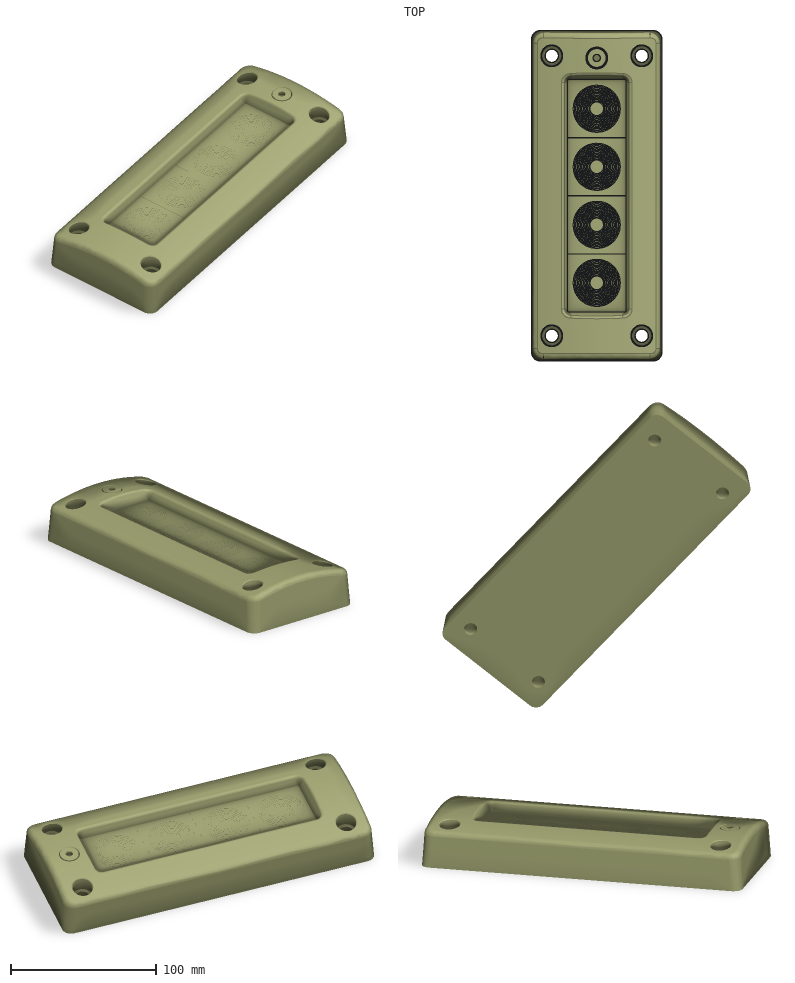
import cadquery as cq
import math

length_x = 90.0
length_y = 228.0
height = 31.5
side_draft = 3.0
base_corner_radius = 6.5
top_corner_radius = 8.0
dome_radius = 150.0
top_edge_fillet = 4.0

panel_size = 40.0
panel_count = 4
window_depth = 8.7
wall_run = 3.4
floor_corner_radius = 0.3
window_corner_radius = 6.5
window_rim_fillet = 2.0
rim_min_z = 28.0
joint_width = 0.1
joint_depth = 0.1

relief_radius = 16.25
centre_recess_radius = 4.7
groove_count = 7
relief_depth = 0.1

screw_hole_diameter = 9.0
counterbore_diameter = 14.0
mouth_min_z = 24.0
mouth_margin = 0.5
mouth_chamfer = 0.5
screw_spacing_x = 62.0
screw_spacing_y = 193.0
counterbore_floor_z = 19.5

plug_y = 95.0
plug_seat_diameter = 14.0
plug_diameter = 13.0
plug_seat_depth = 3.0
plug_hole_diameter = 5.0

floor_z = height - window_depth
floor_y = panel_size * panel_count


def rounded_rectangle(size_x, size_y, radius, z):
    sketch = cq.Sketch().rect(size_x, size_y).vertices().fillet(radius)
    return sketch.moved(cq.Location(cq.Vector(0, 0, z)))


def loft_rectangles(lower, upper):
    return cq.Workplane("XY").placeSketch(lower, upper).loft(ruled=True)


def make_dome():
    crown_circle = cq.Workplane("XZ").center(0, height - dome_radius).circle(dome_radius)
    return crown_circle.extrude(length_y, both=True)


def make_housing():
    inset = 2 * height * math.tan(math.radians(side_draft))
    shell = loft_rectangles(
        rounded_rectangle(length_x, length_y, base_corner_radius, 0),
        rounded_rectangle(length_x - inset, length_y - inset, top_corner_radius, height),
    )
    body = shell.intersect(make_dome())
    return body.faces(">Z").edges().fillet(top_edge_fillet)


def cut_window(body):
    top_x = panel_size + 2 * wall_run
    top_y = floor_y + 2 * wall_run
    window = loft_rectangles(
        rounded_rectangle(panel_size, floor_y, floor_corner_radius, floor_z),
        rounded_rectangle(top_x, top_y, window_corner_radius, height),
    )
    body = body.cut(window)
    rim_box = cq.selectors.BoxSelector(
        (-top_x / 2, -top_y / 2, rim_min_z),
        (top_x / 2, top_y / 2, height + mouth_margin),
        boundingbox=True,
    )
    return body.edges(rim_box).fillet(window_rim_fillet)


def panel_centres():
    first_y = (panel_size - floor_y) / 2
    return [(0, first_y + panel_size * i) for i in range(panel_count)]


def cut_panel_joints(body):
    joint_positions = [(0, panel_size * (i - panel_count / 2)) for i in range(1, panel_count)]
    joints = (
        cq.Workplane("XY").workplane(offset=floor_z)
        .pushPoints(joint_positions)
        .rect(panel_size, joint_width)
        .extrude(-joint_depth)
    )
    return body.cut(joints)


def cut_panel_relief(body):
    band_width = (relief_radius - centre_recess_radius) / (2 * groove_count)
    panels = cq.Workplane("XY").workplane(offset=floor_z).pushPoints(panel_centres())
    body = body.cut(panels.circle(centre_recess_radius).extrude(-relief_depth))
    for i in range(groove_count):
        outer_radius = relief_radius - 2 * band_width * i
        groove = panels.circle(outer_radius).circle(outer_radius - band_width).extrude(-relief_depth)
        body = body.cut(groove)
    return body


def chamfer_mouth(body, x, y, diameter):
    reach = diameter / 2 + mouth_margin
    mouth_box = cq.selectors.BoxSelector(
        (x - reach, y - reach, mouth_min_z),
        (x + reach, y + reach, height + mouth_margin),
        boundingbox=True,
    )
    return body.edges(mouth_box).chamfer(mouth_chamfer)


def cut_screw_hole(body, x, y):
    hole = cq.Workplane("XY").center(x, y).circle(screw_hole_diameter / 2).extrude(height)
    counterbore = (
        cq.Workplane("XY").workplane(offset=counterbore_floor_z)
        .center(x, y)
        .circle(counterbore_diameter / 2)
        .extrude(height - counterbore_floor_z)
    )
    return chamfer_mouth(body.cut(hole).cut(counterbore), x, y, counterbore_diameter)


def add_plug(body):
    seat_floor = cq.Workplane("XY").workplane(offset=height - plug_seat_depth).center(0, plug_y)
    seat = seat_floor.circle(plug_seat_diameter / 2).extrude(plug_seat_depth)
    body = chamfer_mouth(body.cut(seat), 0, plug_y, plug_seat_diameter)
    plug = (
        seat_floor.circle(plug_diameter / 2)
        .circle(plug_hole_diameter / 2)
        .extrude(plug_seat_depth)
        .intersect(make_dome())
    )
    return body.union(plug)


result = make_housing()
result = cut_window(result)
result = cut_panel_joints(result)
result = cut_panel_relief(result)
for side_x in (-1, 1):
    for side_y in (-1, 1):
        result = cut_screw_hole(result, side_x * screw_spacing_x / 2, side_y * screw_spacing_y / 2)
result = add_plug(result)